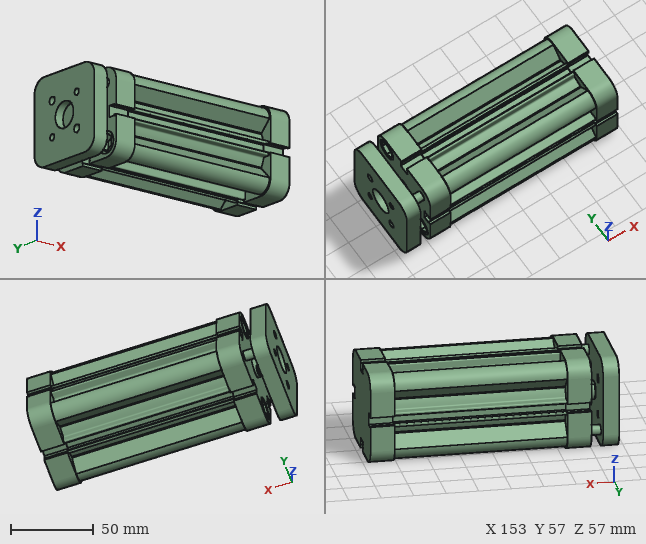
import cadquery as cq
import math

total_length = 153.0
plate_thickness = 10.0
front_cap_start = 17.0
front_cap_length = 14.7
rear_cap_length = 15.0
front_cap_end = front_cap_start + front_cap_length
rear_cap_start = total_length - rear_cap_length

cap_width = 57.0
cap_corner_radius = 9.5

cap_slot_mouth = 6.0
cap_slot_inner = 7.2
cap_slot_lip = 2.0
cap_slot_floor = 22.2

barrel_half_width = 27.5
barrel_corner_radius = 8.7
barrel_radius = 22.5
pocket_outer = barrel_half_width - barrel_corner_radius
pocket_inner = 11.3
pocket_floor = barrel_half_width - (pocket_outer - pocket_inner)
pocket_floor_width = 0.8

barrel_slot_mouth = 5.2
barrel_slot_inner = 6.5
barrel_slot_lip = 1.2
barrel_slot_floor = 21.7
mouth_round = 0.5
wall_half_span = 4.6
wall_top = 27.1
wall_round = 0.8
wall_foot_round = 1.0

corner_offset = 18.8
guide_rod_diameter = 6.3
socket_sides = 6
socket_width = 10.0
socket_depth = 6.0
recess_diameter = 14.0
recess_depth = 0.2

rod_diameter = 12.2
rod_across_flats = 9.8
rod_flat_end = 14.8
rod_shoulder_run = 0.6
rod_chamfer = 0.6

bore_diameter = 17.1
bore_depth = 6.0
hole_offset = 11.6
large_hole_diameter = 5.0
small_hole_diameter = 4.1


def at_x(x):
    """Workplane facing +X at the given station, local axes Y and Z."""
    return cq.Workplane("YZ", origin=(x, 0, 0))


def rounded_block(start, length):
    """Square block with rounded lengthwise edges, the common outline of the plate and the caps."""
    block = at_x(start).rect(cap_width, cap_width).extrude(length)
    return block.edges("|X").fillet(cap_corner_radius)


def make_plate():
    plate = rounded_block(0, plate_thickness)
    plate = plate.cut(at_x(0).circle(bore_diameter / 2).extrude(bore_depth))
    for diameter, side in ((large_hole_diameter, 1), (small_hole_diameter, -1)):
        centers = [(side * hole_offset, hole_offset), (-side * hole_offset, -hole_offset)]
        plate = plate.cut(at_x(0).pushPoints(centers).circle(diameter / 2).extrude(plate_thickness))
    return plate


def make_piston_rod():
    length = front_cap_start - plate_thickness
    rod = at_x(plate_thickness).circle(rod_diameter / 2).extrude(length)
    rod = rod.faces("<X").chamfer(rod_chamfer)
    flat_height = rod_across_flats / 2
    radius = rod_diameter / 2
    flat_cut = (
        cq.Workplane("XZ")
        .moveTo(plate_thickness, flat_height)
        .lineTo(rod_flat_end, flat_height)
        .lineTo(rod_flat_end + rod_shoulder_run, radius)
        .lineTo(plate_thickness, radius)
        .close()
        .extrude(radius, both=True)
    )
    return rod.cut(flat_cut).cut(flat_cut.mirror("XY"))


def make_guide_rod(y, z):
    length = front_cap_start - plate_thickness
    return at_x(plate_thickness).center(y, z).circle(guide_rod_diameter / 2).extrude(length)


def slot_cutter(start, length, top, floor, lip, mouth, inner):
    """T-slot that opens upwards at the height top."""
    lip_bottom = top - lip
    throat = at_x(start).center(0, (floor + top) / 2).rect(mouth, top - floor)
    chamber = at_x(start).center(0, (floor + lip_bottom) / 2).rect(inner, lip_bottom - floor)
    return throat.extrude(length).union(chamber.extrude(length))


def cut_four_sides(body, cutter):
    for quarter in range(4):
        body = body.cut(cutter.rotate((0, 0, 0), (1, 0, 0), 90 * quarter))
    return body


def make_cap(start, length):
    top = cap_width / 2
    slot = slot_cutter(start, length, top, cap_slot_floor, cap_slot_lip, cap_slot_mouth, cap_slot_inner)
    return cut_four_sides(rounded_block(start, length), slot)


def barrel_height(y):
    """Height of the round barrel wall above the axis at the offset y."""
    return math.sqrt(barrel_radius**2 - y**2)


def side_pocket(start, length):
    """Pocket between a corner bead and a slot wall, down to the round barrel wall."""
    floor_end = pocket_inner - pocket_floor_width
    middle = (floor_end + wall_half_span) / 2
    foot_height = barrel_height(wall_half_span)
    pocket = (
        at_x(start)
        .moveTo(pocket_outer, barrel_half_width)
        .lineTo(pocket_inner, pocket_floor)
        .lineTo(floor_end, barrel_height(floor_end))
        .threePointArc((middle, barrel_height(middle)), (wall_half_span, foot_height))
        .lineTo(wall_half_span, barrel_half_width)
        .close()
        .extrude(length)
    )
    foot = cq.selectors.NearestToPointSelector((start + length / 2, wall_half_span, foot_height))
    return pocket.edges("|X").edges(foot).fillet(wall_foot_round)


def round_wall_tips(barrel, offset, radius):
    """Round the eight lengthwise edges at the tips of the slot walls, at the offset from the slot middle."""
    middle = (front_cap_end + rear_cap_start) / 2
    points = []
    for side in (offset, -offset):
        for tip in (wall_top, -wall_top):
            points.append((middle, side, tip))
            points.append((middle, tip, side))
    edges = barrel.edges(cq.selectors.NearestToPointSelector(points[0]))
    for point in points[1:]:
        edges = edges.add(barrel.edges(cq.selectors.NearestToPointSelector(point)))
    return edges.fillet(radius)


def make_barrel():
    start = front_cap_end
    length = rear_cap_start - front_cap_end
    width = 2 * barrel_half_width
    barrel = at_x(start).rect(width, width).extrude(length)
    barrel = barrel.edges("|X").fillet(barrel_corner_radius)

    pocket = side_pocket(start, length)
    barrel = cut_four_sides(barrel, pocket)
    barrel = cut_four_sides(barrel, pocket.mirror("XZ"))

    trim_height = barrel_half_width - wall_top
    trim = at_x(start).center(0, wall_top + trim_height / 2).rect(2 * wall_half_span, trim_height)
    barrel = cut_four_sides(barrel, trim.extrude(length))

    slot = slot_cutter(
        start,
        length,
        wall_top,
        barrel_slot_floor,
        barrel_slot_lip,
        barrel_slot_mouth,
        barrel_slot_inner,
    )
    barrel = cut_four_sides(barrel, slot)
    barrel = round_wall_tips(barrel, wall_half_span, wall_round)
    return round_wall_tips(barrel, barrel_slot_mouth / 2, mouth_round)


def cut_socket(housing, y, z):
    """Hex socket with two flats square to Y, inside a shallow round recess of the front cap."""
    spot = at_x(front_cap_start).center(y, z)
    recess = spot.circle(recess_diameter / 2).extrude(recess_depth)
    across_corners = socket_width / math.cos(math.pi / socket_sides)
    socket = spot.transformed(rotate=(0, 0, 90)).polygon(socket_sides, across_corners)
    return housing.cut(recess).cut(socket.extrude(socket_depth))


def make_housing():
    housing = make_cap(front_cap_start, front_cap_length)
    housing = housing.union(make_barrel())
    housing = housing.union(make_cap(rear_cap_start, rear_cap_length))
    for side in (1, -1):
        housing = cut_socket(housing, side * corner_offset, side * corner_offset)
    return housing


plate = make_plate()
piston_rod = make_piston_rod()
housing = make_housing()
guide_rods = [make_guide_rod(side * corner_offset, -side * corner_offset) for side in (1, -1)]

result = cq.Compound.makeCompound(
    [plate.val(), piston_rod.val(), housing.val(), *[rod.val() for rod in guide_rods]]
)